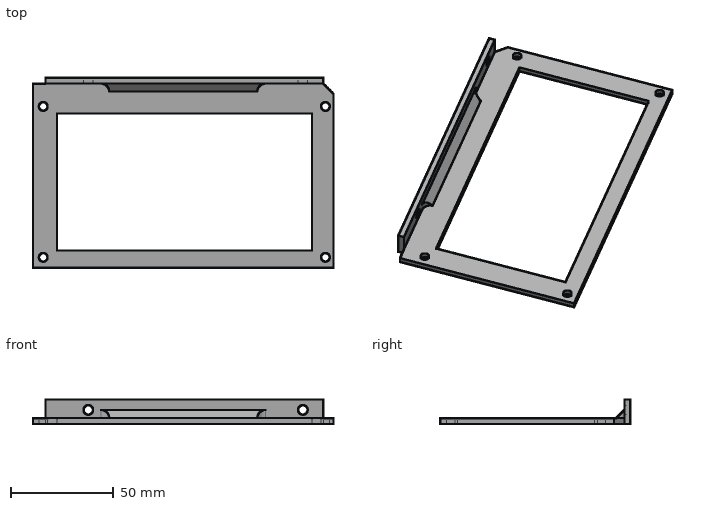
import cadquery as cq

frame_length = 147.0
frame_depth = 90.1
thickness = 3.0

window_left = 11.8
window_right = 10.6
window_front = 8.5
window_back = 14.7

frame_hole_diameter = 4.1
frame_hole_left = 5.0
frame_hole_right = 4.0
frame_hole_front = 5.1
frame_hole_back = 11.2

flange_height = 12.0
flange_left_inset = 6.0
flange_right_inset = 5.0
flange_hole_diameter = 4.5
flange_hole_left = 27.0
flange_hole_right = 15.0
flange_hole_height = 6.9

rib_leg = 4.0
rib_end_inset = 33.2
rib_end_radius = 4.1


def make_frame():
    """Flat plate with a clipped back right corner, a window and four holes."""
    plate = cq.Workplane("XY").box(frame_length, frame_depth, thickness, centered=False)
    plate = plate.edges("|Z and >X and >Y").chamfer(flange_right_inset)
    window_length = frame_length - window_left - window_right
    window_depth = frame_depth - window_front - window_back
    window = (
        cq.Workplane("XY")
        .box(window_length, window_depth, thickness, centered=False)
        .translate((window_left, window_front, 0))
    )
    hole_centers = [
        (x, y)
        for x in (frame_hole_left, frame_length - frame_hole_right)
        for y in (frame_hole_front, frame_depth - frame_hole_back)
    ]
    holes = (
        cq.Workplane("XY")
        .pushPoints(hole_centers)
        .circle(frame_hole_diameter / 2)
        .extrude(thickness)
    )
    return plate.cut(window).cut(holes)


def make_flange():
    """Upright strip with two holes through its thickness."""
    length = frame_length - flange_left_inset - flange_right_inset
    strip = (
        cq.Workplane("XY")
        .box(length, thickness, flange_height, centered=False)
        .translate((flange_left_inset, frame_depth, 0))
    )
    hole_centers = [
        (x, flange_hole_height)
        for x in (flange_hole_left, frame_length - flange_hole_right)
    ]
    holes = (
        cq.Workplane("XZ", origin=(0, frame_depth, 0))
        .pushPoints(hole_centers)
        .circle(flange_hole_diameter / 2)
        .extrude(-thickness)
    )
    return strip.cut(holes)


def make_rib():
    """Triangular rib whose ends are hollowed by upright cylinders."""
    rib = (
        cq.Workplane("YZ", origin=(rib_end_inset, 0, 0))
        .moveTo(frame_depth, thickness)
        .lineTo(frame_depth - rib_leg, thickness)
        .lineTo(frame_depth, thickness + rib_leg)
        .close()
        .extrude(frame_length - 2 * rib_end_inset)
    )
    end_hollows = (
        cq.Workplane("XY", origin=(0, frame_depth - rib_end_radius, thickness))
        .pushPoints([(rib_end_inset, 0), (frame_length - rib_end_inset, 0)])
        .circle(rib_end_radius)
        .extrude(rib_leg)
    )
    return rib.cut(end_hollows)


result = make_frame().union(make_flange()).union(make_rib())